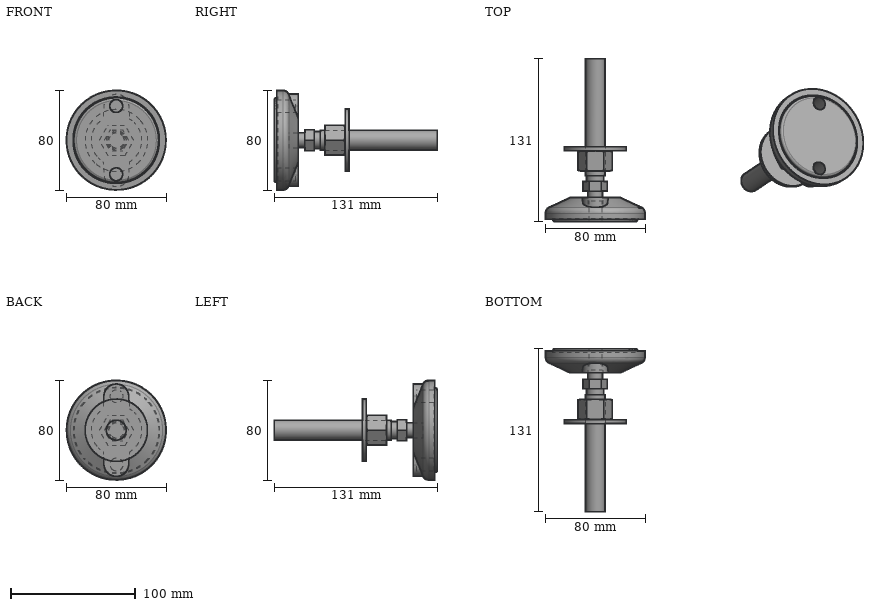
import cadquery as cq
import math


base_dia = 80.0
base_height = 19.5
rim_bottom = 2.0
rim_top = 7.0
shoulder_round = 5.2
cone_slope = 25.0
sole_dia = 68.0
sole_groove_dia = 69.4
sole_groove_depth = 1.0
boss_offset = 27.1
boss_radius = 10.0
boss_root_half_width = 10.9
boss_root_offset = 13.1
hole_offset = 27.4
hole_dia = 10.3
hole_depth = 17.0

overall_length = 131.0
rod_dia = 16.0
rod_start = 37.1
shank_dia = 14.0
hex_start = 24.6
hex_end = 32.4
hex_across_flats = 17.0
neck_dia = 12.0
seat_depth = 7.9

nut_start = 40.6
nut_height = 16.4
nut_across_flats = 24.0
nut_face_dia = 22.8
nut_chamfer_angle = 15.0
washer_dia = 50.0
washer_thickness = 3.3

washer_start = nut_start + nut_height
seat_bottom = base_height - seat_depth


def plane_at(y):
    """XZ plane at height y, with its normal along +Y and local x, y along X, -Z."""
    return cq.Workplane(cq.Plane(origin=(0, y, 0), xDir=(1, 0, 0), normal=(0, 1, 0)))


def cylinder(diameter, start, end):
    return plane_at(start).circle(diameter / 2).extrude(end - start)


def hexagon(across_flats, start, end):
    """Hexagonal prism with two corners on the X axis."""
    across_corners = across_flats / math.cos(math.radians(30))
    return plane_at(start).polygon(6, across_corners).extrude(end - start)


def make_boss(side):
    """Round-ended boss whose walls spread slightly towards the base axis; side is +1 or -1."""
    spread = math.atan2(boss_root_half_width - boss_radius, boss_offset - boss_root_offset)
    tangent_x = boss_radius * math.cos(spread)
    tangent_z = boss_offset + boss_radius * math.sin(spread)
    return (
        plane_at(rim_top)
        .moveTo(-boss_root_half_width, side * boss_root_offset)
        .lineTo(-tangent_x, side * tangent_z)
        .threePointArc((0, side * (boss_offset + boss_radius)), (tangent_x, side * tangent_z))
        .lineTo(boss_root_half_width, side * boss_root_offset)
        .close()
        .extrude(base_height - rim_top)
    )


def shoulder_point(angle):
    """Point on the shoulder arc, angle in degrees up from the rim."""
    arc_centre = base_dia / 2 - shoulder_round
    turn = math.radians(angle)
    return arc_centre + shoulder_round * math.cos(turn), rim_top + shoulder_round * math.sin(turn)


def make_base():
    shoulder_sweep = 90 - cone_slope
    cone_start = shoulder_point(shoulder_sweep)
    cone_run = (base_height - cone_start[1]) / math.tan(math.radians(cone_slope))
    body = (
        cq.Workplane("XY")
        .moveTo(0, rim_bottom)
        .lineTo(base_dia / 2, rim_bottom)
        .lineTo(base_dia / 2, rim_top)
        .threePointArc(shoulder_point(shoulder_sweep / 2), cone_start)
        .lineTo(cone_start[0] - cone_run, base_height)
        .lineTo(0, base_height)
        .close()
        .revolve(360, (0, 0, 0), (0, 1, 0))
    )
    groove_top = rim_bottom + sole_groove_depth
    body = body.cut(cylinder(sole_groove_dia, rim_bottom, groove_top))
    sole = cylinder(sole_dia, 0, groove_top).faces("<Y").edges().fillet(rim_bottom)
    body = body.union(sole)
    for side in (1, -1):
        body = body.union(make_boss(side))
    holes = plane_at(0).pushPoints([(0, hole_offset), (0, -hole_offset)])
    body = body.cut(holes.circle(hole_dia / 2).extrude(hole_depth))
    return body.cut(cylinder(neck_dia, seat_bottom, base_height))


def make_spindle():
    return (
        cylinder(neck_dia, seat_bottom, hex_start)
        .union(hexagon(hex_across_flats, hex_start, hex_end))
        .union(cylinder(shank_dia, hex_end, rod_start))
        .union(cylinder(rod_dia, rod_start, overall_length))
    )


def make_nut():
    """Hexagon nut with its corners chamfered at both ends."""
    nut_end = nut_start + nut_height
    corner_radius = nut_across_flats / 2 / math.cos(math.radians(30))
    face_radius = nut_face_dia / 2
    chamfer_drop = (corner_radius - face_radius) * math.tan(math.radians(nut_chamfer_angle))
    chamfer_envelope = (
        cq.Workplane("XY")
        .moveTo(0, nut_start)
        .lineTo(face_radius, nut_start)
        .lineTo(corner_radius, nut_start + chamfer_drop)
        .lineTo(corner_radius, nut_end - chamfer_drop)
        .lineTo(face_radius, nut_end)
        .lineTo(0, nut_end)
        .close()
        .revolve(360, (0, 0, 0), (0, 1, 0))
    )
    blank = hexagon(nut_across_flats, nut_start, nut_end).intersect(chamfer_envelope)
    return blank.cut(cylinder(rod_dia, nut_start, nut_end))


def make_washer():
    washer_end = washer_start + washer_thickness
    disc = cylinder(washer_dia, washer_start, washer_end)
    return disc.cut(cylinder(rod_dia, washer_start, washer_end))


base = make_base()
spindle = make_spindle()
nut = make_nut()
washer = make_washer()

result = cq.Compound.makeCompound([base.val(), spindle.val(), nut.val(), washer.val()])